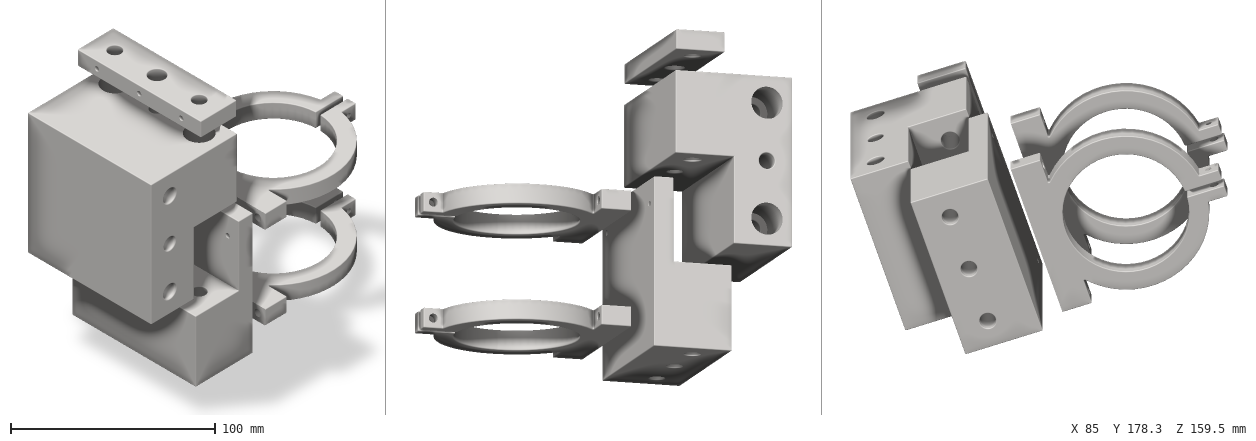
import cadquery as cq
import math

unit_width = 85.0
unit_length = 178.3
plate_thickness = 10.0
hole_pitch = 29.0
rod_row_y = 47.0
rod_diameter = 8.0
set_screw_diameter = 3.0
bolt_diameter = 4.5
edge_radius = 0.5

carriage_height = 85.0
carriage_depth = 60.0
carriage_slab_height = 41.5
carriage_leg_depth = 30.0
carriage_bottom_z = 54.0
carriage_top_z = carriage_bottom_z + carriage_height
carriage_middle_z = carriage_bottom_z + carriage_height / 2
cross_row_y = 13.0
bearing_diameter = 16.0
bearing_depth = 25.0
bearing_through_diameter = 9.0
leadscrew_diameter = 8.0

bracket_height = 85.0
bracket_front_y = 31.0
bracket_depth = 40.0
bracket_back_y = bracket_front_y + bracket_depth
bracket_block_height = 43.0

bar_depth = 25.0
bar_top_z = 159.5
bar_front_y = rod_row_y - bar_depth / 2
bar_rod_diameter = 8.0
bar_leadscrew_diameter = 10.0

ring_outer_radius = 40.8
ring_inner_radius = 31.0
base_width = 80.0
base_depth = 15.2
ring_centre_y = 128.2
base_back_y = ring_centre_y - ring_inner_radius
base_front_y = base_back_y - base_depth
ear_gap = 3.0
ears_width = 14.6
ear_bolt_from_tip = 5.0
base_bolt_x = 35.0
lower_clamp_z = 14.5
upper_clamp_z = lower_clamp_z + 2 * hole_pitch


def box(width, front_y, back_y, bottom_z, top_z):
    """Block centred on X = 0."""
    size = (width, back_y - front_y, top_z - bottom_z)
    return cq.Workplane("XY").box(*size, centered=(True, False, False)).translate((0, front_y, bottom_z))


def bore(diameter, start, direction, length):
    """Cylinder used as a cutter, from start along direction."""
    return cq.Workplane(cq.Solid.makeCylinder(diameter / 2, length, cq.Vector(*start), cq.Vector(*direction)))


def round_mouths(body, diameter):
    """Round every circular edge of the given diameter."""
    def is_mouth(edge):
        return edge.geomType() == "CIRCLE" and math.isclose(edge.radius(), diameter / 2)

    return body.edges().filter(is_mouth).fillet(edge_radius)


def round_outside(body, inner_corner):
    """Round all edges except the one along X in the inner corner, given as (Y, Z)."""
    def is_outside(edge):
        centre = edge.Center()
        return math.dist((centre.y, centre.z), inner_corner) > edge_radius

    return body.edges().filter(is_outside).fillet(edge_radius)


def make_carriage():
    body = box(unit_width, 0, carriage_depth, carriage_bottom_z, carriage_top_z)
    slab_bottom_z = carriage_top_z - carriage_slab_height
    body = body.cut(box(unit_width, carriage_leg_depth, carriage_depth, carriage_bottom_z, slab_bottom_z))
    body = round_outside(body, (carriage_leg_depth, slab_bottom_z))

    left_x = -unit_width / 2
    for offset in (-hole_pitch, 0, hole_pitch):
        cross_start = (left_x, cross_row_y, carriage_middle_z + offset)
        top_start = (offset, rod_row_y, carriage_top_z)
        is_bearing = offset != 0
        diameter = bearing_through_diameter if is_bearing else leadscrew_diameter
        body = body.cut(bore(diameter, cross_start, (1, 0, 0), unit_width))
        body = body.cut(bore(diameter, top_start, (0, 0, -1), carriage_slab_height))
        if is_bearing:
            body = body.cut(bore(bearing_diameter, cross_start, (1, 0, 0), bearing_depth))
            body = body.cut(bore(bearing_diameter, top_start, (0, 0, -1), bearing_depth))
    body = round_mouths(body, bearing_through_diameter)
    return round_mouths(body, leadscrew_diameter)


def make_bracket():
    body = box(unit_width, bracket_front_y, bracket_back_y, 0, bracket_height)
    wall_front_y = bracket_back_y - plate_thickness
    body = body.cut(box(unit_width, bracket_front_y, wall_front_y, bracket_block_height, bracket_height))
    body = round_outside(body, (wall_front_y, bracket_block_height))
    for x in (-hole_pitch, 0, hole_pitch):
        body = body.cut(bore(rod_diameter, (x, rod_row_y, 0), (0, 0, 1), bracket_block_height))
    body = round_mouths(body, rod_diameter)
    for x in (-base_bolt_x, base_bolt_x):
        start = (x, wall_front_y, upper_clamp_z)
        body = body.cut(bore(set_screw_diameter, start, (0, 1, 0), plate_thickness))
    return body


def make_rod_bar():
    bar_bottom_z = bar_top_z - plate_thickness
    bar_middle_z = bar_top_z - plate_thickness / 2
    body = box(unit_width, bar_front_y, bar_front_y + bar_depth, bar_bottom_z, bar_top_z)
    body = body.edges().fillet(edge_radius)
    for x in (-hole_pitch, 0, hole_pitch):
        diameter = bar_leadscrew_diameter if x == 0 else bar_rod_diameter
        body = body.cut(bore(diameter, (x, rod_row_y, bar_bottom_z), (0, 0, 1), plate_thickness))
    body = round_mouths(body, bar_rod_diameter)
    body = round_mouths(body, bar_leadscrew_diameter)
    for x in (-hole_pitch, 0, hole_pitch):
        body = body.cut(bore(set_screw_diameter, (x, bar_front_y, bar_middle_z), (0, 1, 0), bar_depth / 2))
    return body


def is_clear_of_mounting_face(edge):
    """True unless the edge lies wholly in the flat -Y face of a clamp base."""
    return edge.BoundingBox().ymax > base_front_y + edge_radius


def make_clamp(middle_z):
    bottom_z = middle_z - plate_thickness / 2
    top_z = bottom_z + plate_thickness
    ring_centre = (0, ring_centre_y, bottom_z)
    ring = bore(2 * ring_outer_radius, ring_centre, (0, 0, 1), plate_thickness)
    ring = ring.cut(box(base_width, base_front_y - base_depth, base_back_y, bottom_z, top_z))
    ears = box(ears_width, ring_centre_y, unit_length, bottom_z, top_z)
    base = box(base_width, base_front_y, base_back_y, bottom_z, top_z)
    body = ring.union(ears).union(base)
    body = body.cut(bore(2 * ring_inner_radius, ring_centre, (0, 0, 1), plate_thickness))
    body = body.cut(box(ear_gap, ring_centre_y, unit_length, bottom_z, top_z))
    body = body.edges().filter(is_clear_of_mounting_face).fillet(edge_radius)

    bolt_y = unit_length - ear_bolt_from_tip
    body = body.cut(bore(bolt_diameter, (0, bolt_y, middle_z), (-1, 0, 0), ears_width / 2))
    body = body.cut(bore(set_screw_diameter, (0, bolt_y, middle_z), (1, 0, 0), ears_width / 2))
    for x in (-base_bolt_x, base_bolt_x):
        body = body.cut(bore(bolt_diameter, (x, base_front_y, middle_z), (0, 1, 0), base_depth))
    return body


carriage = make_carriage()
bracket = make_bracket()
rod_bar = make_rod_bar()
clamps = [make_clamp(middle_z) for middle_z in (lower_clamp_z, upper_clamp_z)]

result = cq.Compound.makeCompound(
    [carriage.val(), bracket.val(), rod_bar.val()] + [clamp.val() for clamp in clamps]
)